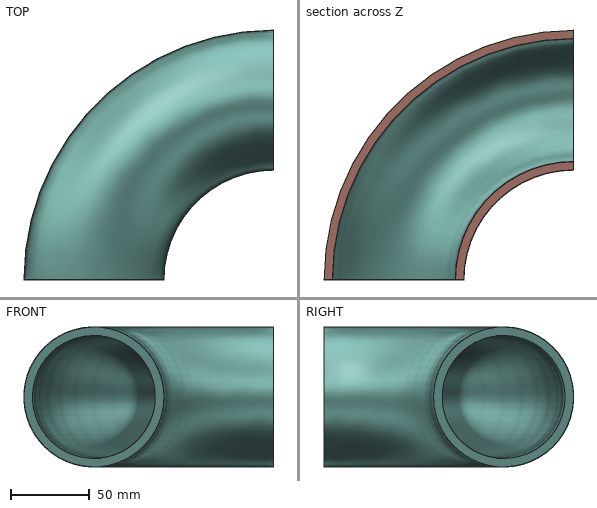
import cadquery as cq

outer_diameter = 88.9
wall_thickness = 5.5
bend_radius = 114.0
bend_angle = 90.0

outer_radius = outer_diameter / 2
inner_radius = outer_radius - wall_thickness

axis_start = (bend_radius, 0)
axis_end = (bend_radius, -1)


def pipe_section():
    """Annular pipe section in the XZ plane, at the mouth facing -Y."""
    return cq.Workplane("XZ").circle(outer_radius).circle(inner_radius)


result = pipe_section().revolve(bend_angle, axis_start, axis_end)